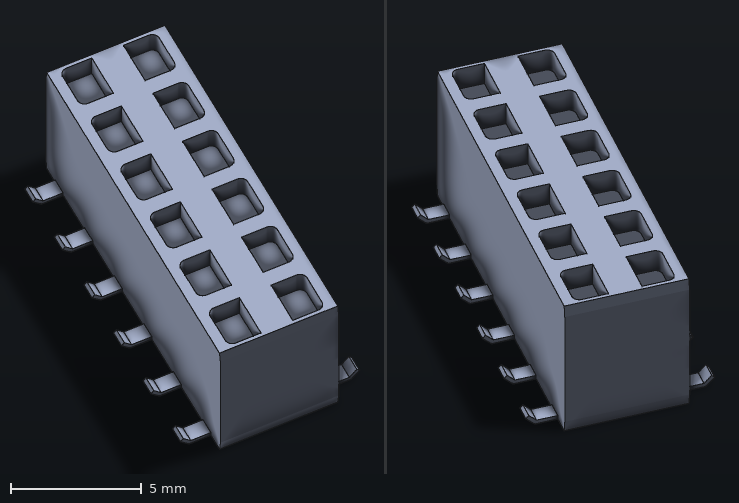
import cadquery as cq

body_length = 15.04
body_width = 5.05
body_height = 6.2
end_taper_height = 0.5
end_taper_inset = 0.08

contacts_per_row = 6
pitch = 2.54

pocket_length = 1.86
pocket_inner_y = 0.68
pocket_outer_y = 2.06
pocket_depth = 1.0
pocket_corner_radius = 0.3

lead_span = 7.65
lead_width = 0.69
lead_thickness = 0.18
lead_tip_height = 0.5
lead_embed = 0.15

contact_xs = [(i - (contacts_per_row - 1) / 2) * pitch for i in range(contacts_per_row)]


def make_body():
    """Block whose two end faces lean inward near the top and bottom."""
    half_length = body_length / 2
    tapered_half = half_length - end_taper_inset
    upper_taper_z = body_height - end_taper_height
    profile = [
        (-tapered_half, 0),
        (tapered_half, 0),
        (half_length, end_taper_height),
        (half_length, upper_taper_z),
        (tapered_half, body_height),
        (-tapered_half, body_height),
        (-half_length, upper_taper_z),
        (-half_length, end_taper_height),
    ]
    return cq.Workplane("XZ").polyline(profile).close().extrude(body_width / 2, both=True)


def make_pocket(x):
    """Cutter for a +Y row pocket, rounded at its two outer corners."""
    return (
        cq.Workplane("XY", origin=(x, (pocket_inner_y + pocket_outer_y) / 2, body_height - pocket_depth))
        .rect(pocket_length, pocket_outer_y - pocket_inner_y)
        .extrude(pocket_depth)
        .edges("|Z and >Y")
        .fillet(pocket_corner_radius)
    )


def make_lead(x):
    """Lead of the +Y row, rooted slightly inside the housing."""
    root_y = body_width / 2 - lead_embed
    tip_y = lead_span / 2
    tip_step = lead_thickness / 2**0.5
    tip_low_z = lead_tip_height - tip_step
    lower_bend_y = tip_y - tip_low_z
    upper_bend_y = lower_bend_y - lead_thickness * (2**0.5 - 1)
    profile = [
        (root_y, 0),
        (lower_bend_y, 0),
        (tip_y, tip_low_z),
        (tip_y - tip_step, lead_tip_height),
        (upper_bend_y, lead_thickness),
        (root_y, lead_thickness),
    ]
    return (
        cq.Workplane("YZ", origin=(x, 0, 0))
        .polyline(profile)
        .close()
        .extrude(lead_width / 2, both=True)
    )


result = make_body()
for contact_x in contact_xs:
    pocket = make_pocket(contact_x)
    lead = make_lead(contact_x)
    result = result.cut(pocket).cut(pocket.mirror("XZ"))
    result = result.union(lead).union(lead.mirror("XZ"))